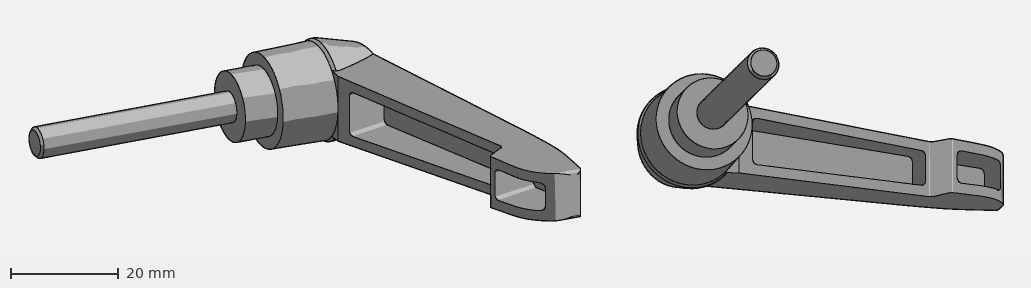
import cadquery as cq
import math


screw_dia = 6.0
screw_length = 40.0
screw_tip_chamfer = 0.5
bushing_dia = 13.5
bushing_length = 6.6
screw_head_dia = 8.0
screw_head_top = 28.45
screw_head_chamfer = 0.5

skirt_lower_radius = 9.15
skirt_upper_radius = 9.4
skirt_top = 17.7
collar_radius = 9.75
collar_bottom = 18.4
collar_top = 19.2
cone_angle = 15.0

tip_x = 65.0
top_y = 41.55
top_angle = 15.0
top_meet_x = 53.95
top_blend_angle = 12.0
top_blend_radius = 29.0
top_blend_end_x = 58.5
underside_angle = 20.0
underside_start_x = skirt_upper_radius
hook_root_x = 49.64
hook_nose_x = 52.4
hook_angle = 55.0
hook_radius = 0.8
tip_belly_radius = 10.2
tip_top_radius = 1.2
tip_side_radius = 0.8
half_width_at_axis = 6.85
half_width_at_tip = 4.75

wall = 2.0
pocket_corner_radius = 1.0
grip_pocket_start_x = 12.2
grip_pocket_end_x = 48.4
tip_pocket_start_x = 53.7
tip_pocket_end_x = 63.4
pocket_floor = 2.8

shortest_line = 1e-4


def slope(angle):
    """Rise per unit run of a line at this angle in degrees."""
    return math.tan(math.radians(angle))


def top_line_y(x):
    """Height of the sloping top face, extended in both directions."""
    return top_y - (top_meet_x - x) * slope(top_angle)


def half_width(x):
    """Half thickness of the tapered lever."""
    return half_width_at_axis - (half_width_at_axis - half_width_at_tip) * x / tip_x


def underside_y(x):
    """Height of the straight underside between hub and hook."""
    return skirt_top + (x - underside_start_x) * slope(underside_angle)


def tip_underside_y(x):
    """Height of the straight underside beyond the hook, extended in both directions."""
    hook_depth = (hook_nose_x - hook_root_x) * slope(hook_angle)
    hook_nose_y = underside_y(hook_root_x) - hook_depth
    return hook_nose_y + (x - hook_nose_x) * slope(underside_angle)


def belly_y(x):
    """Height of the rounded underside at the tip."""
    centre_x = tip_x - tip_belly_radius
    centre_y = (
        tip_underside_y(centre_x)
        + tip_belly_radius / math.cos(math.radians(underside_angle))
    )
    return centre_y - math.sqrt(tip_belly_radius**2 - (x - centre_x)**2)


def rounded_outline(corners, plane="XY"):
    """Closed outline through (x, y, radius) corners, each rounded by a tangent arc."""
    outline = None
    for i, (x, y, radius) in enumerate(corners):
        corner = cq.Vector(x, y)
        previous = cq.Vector(*corners[i - 1][:2])
        following = cq.Vector(*corners[(i + 1) % len(corners)][:2])
        back = (previous - corner).normalized()
        ahead = (following - corner).normalized()
        half_angle = back.getAngle(ahead) / 2
        setback = radius / math.tan(half_angle)
        start = corner + back * setback
        end = corner + ahead * setback
        bisector = (back + ahead).normalized()
        middle = corner + bisector * (radius / math.sin(half_angle) - radius)
        if outline is None:
            outline = cq.Workplane(plane).moveTo(start.x, start.y)
        elif (start - reached).Length > shortest_line:
            outline = outline.lineTo(start.x, start.y)
        if radius > 0:
            outline = outline.threePointArc((middle.x, middle.y), (end.x, end.y))
        reached = end
    return outline.close()


def make_hub():
    """Screw, bushing, skirt, collar and cone turned about Y, cut off by the sloping top."""
    screw_radius = screw_dia / 2
    cone_top_y = screw_head_top + collar_radius
    cone_top_radius = collar_radius - (cone_top_y - collar_top) * slope(cone_angle)
    turned = (
        cq.Workplane("XY")
        .moveTo(0, -screw_length)
        .lineTo(screw_radius - screw_tip_chamfer, -screw_length)
        .lineTo(screw_radius, -screw_length + screw_tip_chamfer)
        .lineTo(screw_radius, 0)
        .lineTo(bushing_dia / 2, 0)
        .lineTo(bushing_dia / 2, bushing_length)
        .lineTo(skirt_lower_radius, bushing_length)
        .lineTo(skirt_upper_radius, skirt_top)
        .lineTo(collar_radius, collar_bottom)
        .lineTo(collar_radius, collar_top)
        .lineTo(cone_top_radius, cone_top_y)
        .lineTo(0, cone_top_y)
        .close()
        .revolve(360, (0, 0, 0), (0, 1, 0))
    )
    reach = 2 * collar_radius
    above_top = (
        cq.Workplane("XY")
        .polyline([
            (-reach, top_line_y(-reach)),
            (reach, top_line_y(reach)),
            (reach, 2 * top_y),
            (-reach, 2 * top_y),
        ])
        .close()
        .extrude(collar_radius, both=True)
    )
    return turned.cut(above_top)


def make_screw_head():
    """Round head standing out of the sloping top of the hub."""
    return (
        cq.Workplane("XZ", origin=(0, skirt_top, 0))
        .circle(screw_head_dia / 2)
        .extrude(-(screw_head_top - skirt_top))
        .faces(">Y")
        .chamfer(screw_head_chamfer)
    )


def make_lever():
    """Side profile crossed with the tapered plan whose tip corners are rounded."""
    tight_setback = top_blend_radius * slope(top_blend_angle / 2)
    tight_x = top_blend_end_x - tight_setback
    sloping_drop = (tight_x - top_meet_x) * slope(top_angle)
    slow_x = tight_x - sloping_drop / (slope(top_angle) - slope(top_blend_angle))
    slow_length = (tight_x - slow_x) / math.cos(math.radians(top_blend_angle))
    slow_radius = (slow_length - tight_setback) / slope((top_angle - top_blend_angle) / 2)
    profile = rounded_outline([
        (0, skirt_top, 0),
        (underside_start_x, skirt_top, 0),
        (hook_root_x, underside_y(hook_root_x), hook_radius),
        (hook_nose_x, tip_underside_y(hook_nose_x), hook_radius),
        (tip_x, tip_underside_y(tip_x), tip_belly_radius),
        (tip_x, top_y, tip_top_radius),
        (tight_x, top_y, top_blend_radius),
        (slow_x, top_line_y(slow_x), slow_radius),
        (0, top_line_y(0), 0),
    ]).extrude(collar_radius, both=True)
    plan = (
        cq.Workplane("XZ")
        .polyline([
            (-collar_radius, -half_width(-collar_radius)),
            (tip_x, -half_width(tip_x)),
            (tip_x, half_width(tip_x)),
            (-collar_radius, half_width(-collar_radius)),
        ])
        .close()
        .extrude(-2 * top_y)
        .edges("|Y and >X")
        .fillet(tip_side_radius)
    )
    return profile.intersect(plan)


def make_pocket(start_x, start_y, end_x, end_y):
    """Tapered pocket between two mouth points, square to the sloping top, its floor parallel to it."""
    lean = math.radians(top_angle)
    along = cq.Vector(math.cos(lean), math.sin(lean), 0)
    inward = cq.Vector(-math.sin(lean), math.cos(lean), 0)
    start = cq.Vector(start_x, start_y, 0)
    length = (cq.Vector(end_x, end_y, 0) - start).dot(along)
    start_half = half_width(start_x) - wall
    end_half = half_width(end_x) - wall
    reach = top_y / 2
    pocket = rounded_outline([
        (0, -start_half, pocket_corner_radius),
        (length, -end_half, pocket_corner_radius),
        (length, end_half, pocket_corner_radius),
        (0, start_half, pocket_corner_radius),
    ], cq.Plane(start - inward * reach, along, inward)).extrude(2 * reach)
    floor_drop = pocket_floor / math.cos(math.radians(top_angle))
    roof = (
        cq.Workplane("XY")
        .polyline([
            (0, top_line_y(0) - floor_drop),
            (tip_x, top_line_y(tip_x) - floor_drop),
            (tip_x, 2 * top_y),
            (0, 2 * top_y),
        ])
        .close()
        .extrude(collar_radius, both=True)
    )
    return pocket.cut(roof)


grip_pocket = make_pocket(
    grip_pocket_start_x, underside_y(grip_pocket_start_x),
    grip_pocket_end_x, underside_y(grip_pocket_end_x),
)
tip_pocket = make_pocket(
    tip_pocket_start_x, tip_underside_y(tip_pocket_start_x),
    tip_pocket_end_x, belly_y(tip_pocket_end_x),
)
lever = make_lever().cut(grip_pocket).cut(tip_pocket)
result = make_hub().union(lever).union(make_screw_head())